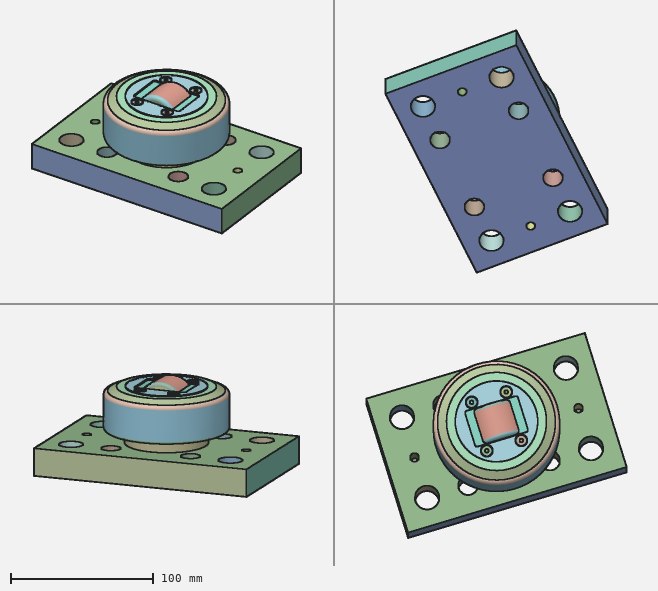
import cadquery as cq
import math

plate_length = 160.0
plate_width = 100.0
plate_thickness = 20.0

hole_offset_x = 60.0
inner_offset_x = hole_offset_x / 2
hole_offset_y = 30.0
corner_hole_diameter = 17.0
inner_hole_diameter = 13.8
dowel_diameter = 6.0

neck_diameter = 59.0
roller_diameter = 88.5
roller_bottom = 29.6
roller_top = 60.3
bottom_fillet = 2.0
shoulder_height = 54.4
cone_outer_radius = 41.3
cone_outer_height = 57.5
cone_inner_radius = 35.0

cap_diameter = 57.8
cap_top = 61.0

pocket_length = 38.7
pocket_width = 26.7
pocket_depth = 1.0
pocket_corner_radius = 1.6
overall_height = 66.0
side_roller_radius = 17.3
side_roller_width = 26.0
side_roller_fillet = 2.7

screw_offset_x = 12.6
screw_offset_y = 18.0
counterbore_diameter = 8.5
counterbore_depth = 0.5
screw_head_diameter = 7.8
screw_head_recess = 0.2
socket_diameter = 2.5
socket_depth = 0.3


def mirrored_points(x, y):
    return [(sx * x, sy * y) for sx in (-1, 1) for sy in (-1, 1)]


def cylinder(diameter, bottom, top, points=((0, 0),)):
    return (
        cq.Workplane("XY", origin=(0, 0, bottom))
        .pushPoints(points)
        .circle(diameter / 2)
        .extrude(top - bottom)
    )


def make_plate():
    plate = cq.Workplane("XY").box(
        plate_length, plate_width, plate_thickness, centered=(True, True, False)
    )
    hole_groups = (
        (corner_hole_diameter, mirrored_points(hole_offset_x, hole_offset_y)),
        (inner_hole_diameter, mirrored_points(inner_offset_x, hole_offset_y)),
        (dowel_diameter, [(-hole_offset_x, 0), (hole_offset_x, 0)]),
    )
    for diameter, points in hole_groups:
        plate = plate.cut(cylinder(diameter, 0, plate_thickness, points))
    return plate


def make_roller():
    """Revolved roller: rounded lower edge, rounded shoulder and conical top rim."""
    radius = roller_diameter / 2
    fillet_inset = bottom_fillet * (1 - math.sqrt(0.5))
    shoulder_radius = cone_outer_height - shoulder_height
    shoulder_inset = shoulder_radius * (1 - math.cos(math.pi / 6))
    shoulder_middle = (radius - shoulder_inset, shoulder_height + shoulder_radius / 2)
    return (
        cq.Workplane("XZ")
        .moveTo(0, roller_bottom)
        .lineTo(radius - bottom_fillet, roller_bottom)
        .threePointArc(
            (radius - fillet_inset, roller_bottom + fillet_inset),
            (radius, roller_bottom + bottom_fillet),
        )
        .lineTo(radius, shoulder_height)
        .threePointArc(shoulder_middle, (cone_outer_radius, cone_outer_height))
        .lineTo(cone_inner_radius, roller_top)
        .lineTo(0, roller_top)
        .close()
        .revolve(360, (0, 0, 0), (0, 1, 0))
    )


def make_pocket():
    return (
        cq.Workplane("XY", origin=(0, 0, cap_top - pocket_depth))
        .rect(pocket_length, pocket_width)
        .extrude(pocket_depth)
        .edges("|Z")
        .fillet(pocket_corner_radius)
    )


def make_side_roller():
    axis_height = overall_height - side_roller_radius
    return (
        cq.Workplane("XZ", origin=(0, side_roller_width / 2, axis_height))
        .circle(side_roller_radius)
        .extrude(side_roller_width)
        .edges()
        .fillet(side_roller_fillet)
    )


def add_screws(body):
    points = mirrored_points(screw_offset_x, screw_offset_y)
    head_bottom = cap_top - counterbore_depth
    head_top = cap_top - screw_head_recess
    body = body.cut(cylinder(counterbore_diameter, head_bottom, cap_top, points))
    body = body.union(cylinder(screw_head_diameter, head_bottom, head_top, points))
    return body.cut(cylinder(socket_diameter, head_top - socket_depth, head_top, points))


body = make_plate()
body = body.union(cylinder(neck_diameter, plate_thickness, roller_bottom))
body = body.union(make_roller())
body = body.union(cylinder(cap_diameter, roller_top, cap_top))
body = body.cut(make_pocket())
body = add_screws(body)
result = body.union(make_side_roller())